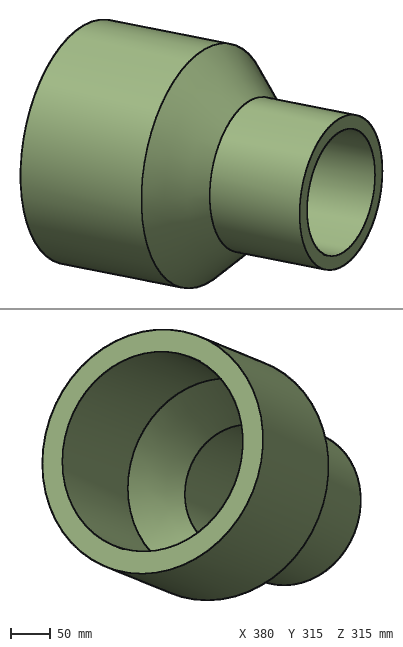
import cadquery as cq

total_length = 380.0
large_length = 180.0
cone_length = 66.0
large_outer_diameter = 315.0
large_bore_diameter = 257.5
small_outer_diameter = 200.0
small_bore_diameter = 163.8

cone_start = large_length
cone_end = cone_start + cone_length


def stepped_body(large_diameter, small_diameter):
    """Solid of revolution: large cylinder, cone and small cylinder."""
    large_radius = large_diameter / 2
    small_radius = small_diameter / 2
    return (
        cq.Workplane("XY")
        .moveTo(0, 0)
        .lineTo(0, large_radius)
        .lineTo(cone_start, large_radius)
        .lineTo(cone_end, small_radius)
        .lineTo(total_length, small_radius)
        .lineTo(total_length, 0)
        .close()
        .revolve(360, (0, 0, 0), (1, 0, 0))
    )


outer_body = stepped_body(large_outer_diameter, small_outer_diameter)
bore = stepped_body(large_bore_diameter, small_bore_diameter)
result = outer_body.cut(bore)